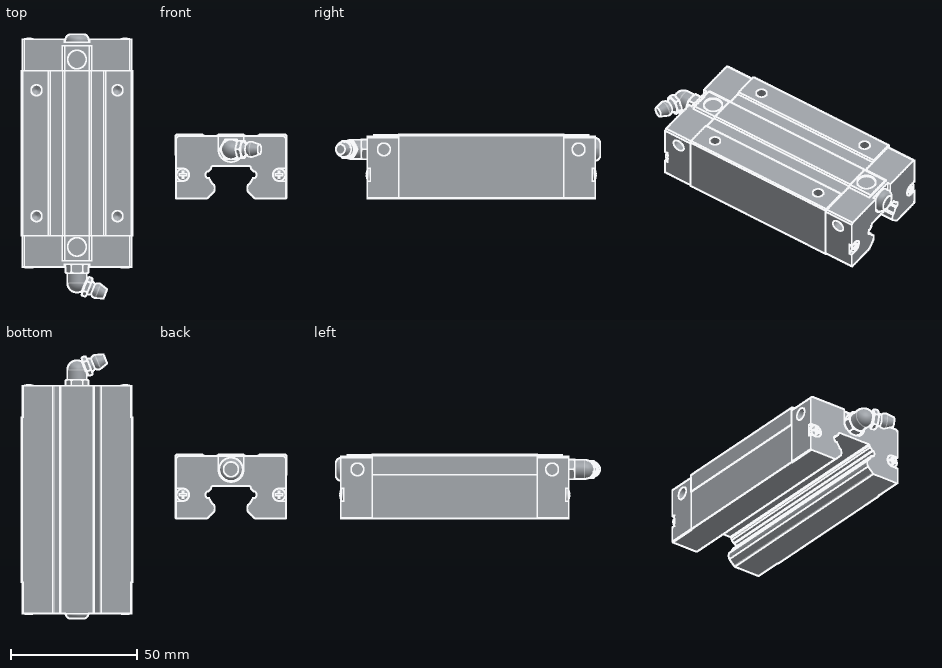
import cadquery as cq
import math


block_width = 44.0
block_height = 25.4
block_length = 65.3
block_chamfer = 0.5
bottom_chamfer = 0.3
side_relief = 0.2
side_relief_top = 17.3
pad_inner_x = 11.3
ridge_half_width = 4.9
groove_depth = 0.6
groove_slope = 0.6

cap_width = 43.3
cap_height = 24.6
cap_length = 9.9
cap_chamfer_side = 0.7
cap_chamfer_drop = 0.6
cap_ridge_height = 25.2
cap_ridge_slope = 0.9
plate_thickness = 2.5
plate_face = block_length / 2 + cap_length + plate_thickness

mouth_edge = (9.5, 0)
mouth_bevel_end = (9.0, 0.4)
lip_bottom = (6.8, 2.5)
lip_middle = (6.4, 4.0)
lip_top = (6.8, 5.5)
lip_shoulder = (7.4, 6.0)
race_bottom_edge = (8.7, 8.2)
race_bottom = (9.4, 8.2)
race_middle = (10.0, 9.4)
race_top = (9.4, 10.7)
race_top_edge = (9.0, 10.7)
roof_slope_start = (8.0, 11.7)
roof_slope_end = (7.6, 12.7)
roof_edge = (7.2, 12.9)

mount_hole_diameter = 4.3
mount_hole_depth = 8.0
mount_hole_x = 16.0
mount_hole_y = 24.9
drill_angle = 118.0

port_z = 19.5
port_y = 38.5
side_port_diameter = 5.0
side_port_depth = 4.2
top_port_diameter = 7.3
top_port_depth = 0.6
top_port_y = 37.1
port_slot_radius = 5.0
port_slot_depth = 1.3
port_floor = plate_face - port_slot_depth

screw_x = 19.1
screw_z = 9.4
screw_pocket_radius = 2.5
screw_pocket_depth = 1.3
screw_head_radius = 2.4
screw_rim_height = 1.0
screw_head_height = 1.6
cross_length = 2.9
cross_width = 0.6
cross_depth = 0.8

plug_radius = 4.6
plug_rim_height = 0.2
plug_shoulder = (4.5, 1.8)
plug_flat_radius = 2.9
plug_tip_y = 47.1

nipple_nut_flats = 8.0
nipple_nut_length = 3.6
elbow_radius = 3.9
elbow_center_y = -51.3
nipple_angle = 21.5
tip_nut_flats = 6.9
tip_nut_start = 3.4
tip_nut_end = 5.2
nut_chamfer = 0.3
tip_neck_radius = 2.5
tip_cone_radius = 3.0
tip_groove = (6.8, 2.2)
tip_bulge_side = (7.5, 2.8)
tip_bulge_top = (8.8, 3.0)
tip_end_radius = 2.0
overall_length = 104.7
nipple_tip_y = plug_tip_y - overall_length


def box_between(x0, x1, y0, y1, z0, z1):
    return cq.Workplane("XY").box(x1 - x0, y1 - y0, z1 - z0, centered=False).translate((x0, y0, z0))


def extrude_along_y(outline, y0, y1):
    """Extrude a closed list of (x, z) points from y0 to y1."""
    return cq.Workplane("XZ", origin=(0, y0, 0)).polyline(outline).close().extrude(y0 - y1)


def mirrored_outline(right_half):
    """Complete an outline whose right half runs from bottom to top."""
    return right_half + [(-x, z) for x, z in reversed(right_half)]


def cylinder_along_y(radius, x, z, y0, y1):
    return cq.Workplane("XZ", origin=(x, y0, z)).circle(radius).extrude(y0 - y1)


def make_block():
    half = block_width / 2
    groove_floor = block_height - groove_depth
    outline = mirrored_outline([
        (half - bottom_chamfer, 0),
        (half, bottom_chamfer),
        (half, block_height - block_chamfer),
        (half - block_chamfer, block_height),
        (pad_inner_x, block_height),
        (pad_inner_x - groove_slope, groove_floor),
        (ridge_half_width + groove_slope, groove_floor),
        (ridge_half_width, block_height),
    ])
    end = block_length / 2
    relief = box_between(-half, -half + side_relief, -end, end, 0, side_relief_top)
    return extrude_along_y(outline, -end, end).cut(relief)


def make_end_section():
    """Cap and end plate at +Y; only the cap carries the raised middle ridge."""
    half = cap_width / 2
    body = extrude_along_y(mirrored_outline([
        (half - bottom_chamfer, 0),
        (half, bottom_chamfer),
        (half, cap_height - cap_chamfer_drop),
        (half - cap_chamfer_side, cap_height),
    ]), block_length / 2, plate_face)
    ridge = extrude_along_y(mirrored_outline([
        (ridge_half_width + cap_ridge_slope, cap_height),
        (ridge_half_width, cap_ridge_height),
    ]), block_length / 2, plate_face - plate_thickness)
    return body.union(ridge)


def make_rail_passage():
    right_half = (
        cq.Workplane("XZ", origin=(0, -plate_face, 0))
        .lineTo(*mouth_edge)
        .lineTo(*mouth_bevel_end)
        .lineTo(*lip_bottom)
        .threePointArc(lip_middle, lip_top)
        .lineTo(*lip_shoulder)
        .lineTo(*race_bottom_edge)
        .lineTo(*race_bottom)
        .threePointArc(race_middle, race_top)
        .lineTo(*race_top_edge)
        .lineTo(*roof_slope_start)
        .lineTo(*roof_slope_end)
        .lineTo(*roof_edge)
        .lineTo(0, roof_edge[1])
        .close()
        .extrude(-2 * plate_face)
    )
    return right_half.union(right_half.mirror("YZ"))


def make_mount_hole(x, y):
    radius = mount_hole_diameter / 2
    floor = block_height - mount_hole_depth
    cone_tip = floor - radius / math.tan(math.radians(drill_angle / 2))
    section = [(0, cone_tip), (radius, floor), (radius, block_height), (0, block_height)]
    drill = cq.Workplane("XZ").polyline(section).close().revolve(360, (0, 0), (0, 1))
    return drill.translate((x, y, 0))


def make_cap_ports():
    """Side ports, top port and plate slot of the +Y end."""
    half = cap_width / 2
    ports = cylinder_along_y(port_slot_radius, 0, port_z, port_floor, plate_face)
    ports = ports.union(box_between(
        -port_slot_radius, port_slot_radius, port_floor, plate_face, port_z, cap_height))
    top = cq.Workplane("XY", origin=(0, top_port_y, cap_ridge_height - top_port_depth))
    ports = ports.union(top.circle(top_port_diameter / 2).extrude(top_port_depth))
    for x in (-half, half - side_port_depth):
        side = cq.Workplane("YZ", origin=(x, port_y, port_z))
        ports = ports.union(side.circle(side_port_diameter / 2).extrude(side_port_depth))
    return ports


def make_screw_pocket():
    """Pocket at +X, +Y: round on the inside and open to the side of the plate."""
    floor = plate_face - screw_pocket_depth
    pocket = cylinder_along_y(screw_pocket_radius, screw_x, screw_z, floor, plate_face)
    return pocket.union(box_between(
        screw_x, cap_width / 2, floor, plate_face,
        screw_z - screw_pocket_radius, screw_z + screw_pocket_radius))


def make_screw_head():
    """Domed head at +X, +Y with a cross recess."""
    floor = plate_face - screw_pocket_depth
    rim = floor + screw_rim_height
    top = floor + screw_head_height
    rise = top - rim
    dome_radius = (screw_head_radius ** 2 + rise ** 2) / (2 * rise)
    cylinder = cylinder_along_y(screw_head_radius, screw_x, screw_z, floor, top)
    dome = cq.Workplane("XY").sphere(dome_radius).translate((screw_x, top - dome_radius, screw_z))
    head = cylinder.intersect(dome)
    for x_size, z_size in ((cross_length, cross_width), (cross_width, cross_length)):
        slot = cq.Workplane("XY").box(x_size, 2 * cross_depth, z_size)
        head = head.cut(slot.translate((screw_x, top, screw_z)))
    return head


def make_plug():
    """Flat-topped dome standing on the port floor, turned about Z and then laid along +Y."""
    height = plug_tip_y - port_floor
    section = (
        cq.Workplane("XZ")
        .lineTo(plug_radius, 0)
        .lineTo(plug_radius, plug_rim_height)
        .threePointArc(plug_shoulder, (plug_flat_radius, height))
        .lineTo(0, height)
        .close()
    )
    plug = section.revolve(360, (0, 0), (0, 1)).rotate((0, 0, 0), (1, 0, 0), -90)
    return plug.translate((0, port_floor, port_z))


def make_nut(flats, length):
    """Hexagon nut rising along Z, with corners on X and bevelled at both ends."""
    corners = flats / math.cos(math.pi / 6)
    bevel = cq.Workplane("XY").circle(corners / 2).extrude(length).edges().chamfer(nut_chamfer)
    return cq.Workplane("XY").polygon(6, corners).extrude(length).intersect(bevel)


def make_nipple_tip():
    """Ribbed tip along +X, with its nut and the middle of the ball at the origin."""
    swing = math.radians(nipple_angle)
    reach = elbow_center_y - nipple_tip_y - tip_end_radius * math.cos(swing)
    tip_length = reach / math.sin(swing)
    section = (
        cq.Workplane("XY")
        .lineTo(0, tip_neck_radius)
        .lineTo(tip_nut_end, tip_neck_radius)
        .lineTo(tip_nut_end, tip_cone_radius)
        .lineTo(*tip_groove)
        .threePointArc(tip_bulge_side, tip_bulge_top)
        .lineTo(tip_length, tip_end_radius)
        .lineTo(tip_length, 0)
        .close()
    )
    tip = section.revolve(360, (0, 0), (1, 0))
    nut = make_nut(tip_nut_flats, tip_nut_end - tip_nut_start)
    nut = nut.rotate((0, 0, 0), (1, 0, 0), 90)
    nut = nut.rotate((0, 0, 0), (0, 0, 1), 90).translate((tip_nut_start, 0, 0))
    return tip.union(nut)


def make_nipple():
    """Nut and ball elbow, then the tip swung from +X towards -Y."""
    ball_center = (0, elbow_center_y, port_z)
    nut = make_nut(nipple_nut_flats, nipple_nut_length).rotate((0, 0, 0), (1, 0, 0), 90)
    nipple = nut.translate((0, -port_floor, port_z))
    nipple = nipple.union(cylinder_along_y(elbow_radius, 0, port_z, elbow_center_y, -port_floor))
    nipple = nipple.union(cq.Workplane("XY").sphere(elbow_radius).translate(ball_center))
    tip = make_nipple_tip().rotate((0, 0, 0), (0, 0, 1), -nipple_angle)
    return nipple.union(tip.translate(ball_center))


def at_both_ends(shape):
    return shape.union(shape.mirror("XZ"))


def at_four_corners(shape):
    return at_both_ends(shape.union(shape.mirror("YZ")))


result = make_block().union(at_both_ends(make_end_section()))
result = result.cut(make_rail_passage())
for hole_x in (-mount_hole_x, mount_hole_x):
    for hole_y in (-mount_hole_y, mount_hole_y):
        result = result.cut(make_mount_hole(hole_x, hole_y))
result = result.cut(at_both_ends(make_cap_ports()))
result = result.cut(at_four_corners(make_screw_pocket()))
result = result.union(at_four_corners(make_screw_head()))
result = result.union(make_plug()).union(make_nipple())